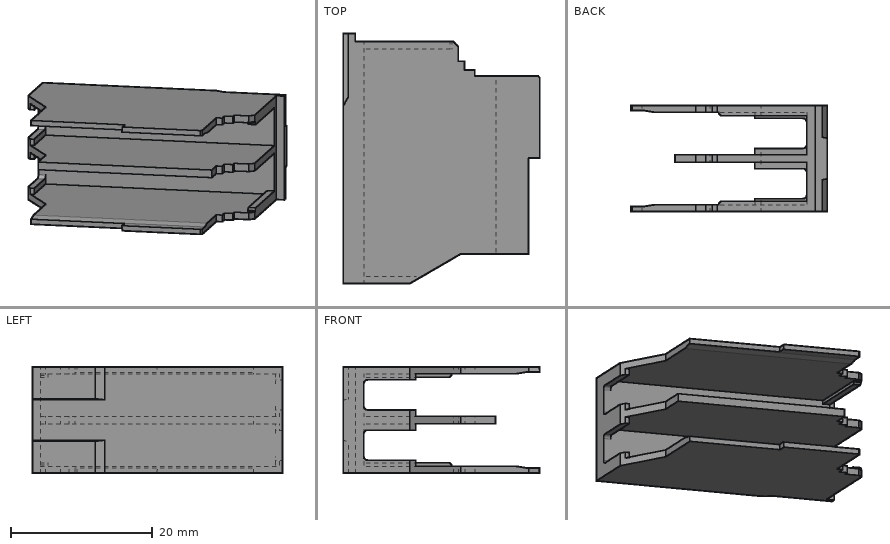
import cadquery as cq

depth = 27.82
length = 35.4
width = 15.0
mid_z = width / 2

spine_depth = 2.95
plate_thickness = 1.0
middle_thickness = 1.1
middle_depth = 21.55

front_slope_start_x = 9.45
front_slope_end_x = 16.65
front_edge_y = 4.18
step_x = 26.23
tab_start_y = 17.85
tab_end_y = 29.38
tab_corner = 0.25
tab_draft = 0.1
back_edge_y = 34.25
back_corner_x = 16.3
back_corner = 0.7
inner_step_y = 31.47
middle_step_x = 17.17
middle_step_y = 30.23
outer_step_x = 18.62
hook_depth = 1.75

lip_end_x = 10.3
front_lip_depth = 1.05
front_lip_thickness = 1.85
middle_lip_thickness = 2.9
back_lip_end_x = 15.35
back_lip_depth = 1.05
back_lip_thickness = 1.5
back_lip_chamfer = 0.32
slot_corner = 0.5

tip_thickness = 0.75
taper_start_x = 24.35
taper_end_x = 25.9

recess_depth = 0.75
recess_start_y = 25.15
recess_floor_y = 26.48
recess_width = 4.65
recess_wall_draft = 0.15


def box(x0, x1, y0, y1, z0, z1):
    return cq.Workplane("XY").box(x1 - x0, y1 - y0, z1 - z0, centered=False).translate((x0, y0, z0))


def mirrored(solid):
    """Join a solid with its reflection about the middle plate."""
    return solid.union(solid.mirror("XY", (0, 0, mid_z)))


def outline_block():
    points = [
        (0, 0),
        (front_slope_start_x, 0),
        (front_slope_end_x, front_edge_y),
        (step_x, front_edge_y),
        (step_x, tab_start_y),
        (depth, tab_start_y),
        (depth, tab_end_y - tab_corner),
        (depth - tab_corner, tab_end_y),
        (outer_step_x, tab_end_y),
        (outer_step_x, middle_step_y),
        (middle_step_x, middle_step_y),
        (middle_step_x, inner_step_y),
        (back_corner_x, inner_step_y),
        (back_corner_x, back_edge_y - back_corner),
        (back_corner_x - back_corner, back_edge_y),
        (hook_depth, back_edge_y),
        (hook_depth, length),
        (0, length),
    ]
    return cq.Workplane("XY").polyline(points).close().extrude(width)


def side_plate():
    """Lower side plate, thinned toward its free edge."""
    section = [
        (0, 0),
        (depth, 0),
        (depth, tip_thickness),
        (taper_end_x, tip_thickness),
        (taper_start_x, plate_thickness),
        (0, plate_thickness),
    ]
    return cq.Workplane("XZ").polyline(section).close().extrude(-length)


def tab_wedge():
    """Sloped front edge of the lower tab, widest at the inner face."""
    section = [
        (tab_start_y, 0),
        (tab_start_y - tab_draft, tip_thickness),
        (tab_start_y, tip_thickness),
    ]
    wedge = cq.Workplane("YZ").polyline(section).close().extrude(depth - step_x)
    return wedge.translate((step_x, 0, 0))


def front_lips():
    """Front wall pierced by two slots that are open toward +X."""
    wall = box(0, lip_end_x, 0, front_lip_depth, 0, width)
    slot = box(
        spine_depth, depth, 0, front_lip_depth,
        front_lip_thickness, mid_z - middle_lip_thickness / 2,
    ).edges("|Y and <X").fillet(slot_corner)
    return wall.cut(mirrored(slot))


def back_lip():
    return box(
        0, back_lip_end_x, back_edge_y - back_lip_depth, back_edge_y, 0, back_lip_thickness,
    ).edges("|Y and >X and >Z").chamfer(back_lip_chamfer)


def band_recess():
    """Lower recess in the spine; its end and its wall beside the band both slope."""
    end_profile = [
        (0, recess_start_y),
        (recess_depth, recess_floor_y),
        (recess_depth, length),
        (0, length),
    ]
    wall_profile = [
        (0, 0),
        (recess_depth, 0),
        (recess_depth, recess_width - recess_wall_draft),
        (0, recess_width),
    ]
    ramp = cq.Workplane("XY").polyline(end_profile).close().extrude(recess_width)
    drafted = cq.Workplane("XZ").polyline(wall_profile).close().extrude(-length)
    return ramp.intersect(drafted)


spine = box(0, spine_depth, 0, length, 0, width)
middle_plate = box(
    0, middle_depth, 0, length, mid_z - middle_thickness / 2, mid_z + middle_thickness / 2,
)
body = spine.union(middle_plate).union(front_lips())
body = body.union(mirrored(side_plate())).union(mirrored(back_lip()))
body = body.intersect(outline_block())
body = body.union(mirrored(tab_wedge()))
result = body.cut(mirrored(band_recess()))